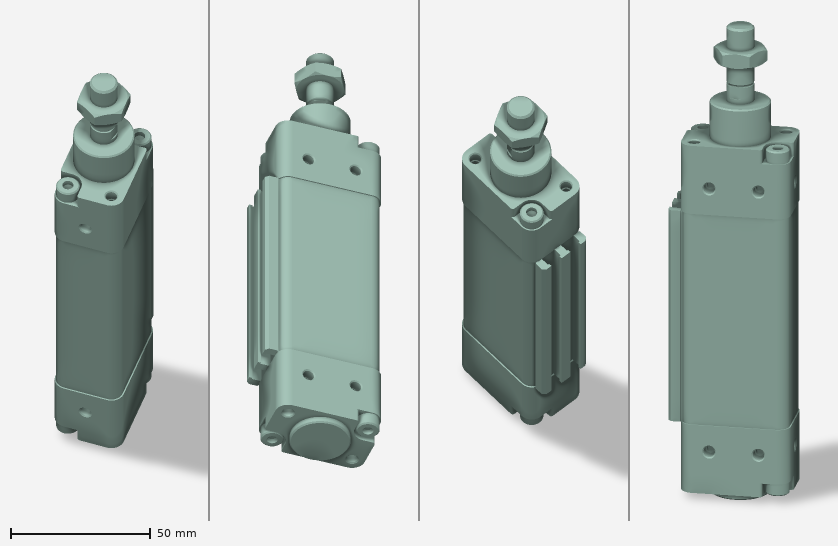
import cadquery as cq
import math


CAP_X = 26.0
CAP_Y = 40.0
CAP_LENGTH = 26.0
BODY_LENGTH = 132.5
BARREL_INSET = 0.5
CORNER_X = 8.25
CORNER_Y = 15.25
CAP_RADIUS = CAP_X / 2 - CORNER_X
BARREL_RADIUS = CAP_RADIUS - BARREL_INSET

BOSS_DIA = 22.0
BOTTOM_BOSS_HEIGHT = 2.5
TOP_BOSS_HEIGHT = 14.0
BOSS_CHAMFER = 0.5

BODY_BOTTOM = BOTTOM_BOSS_HEIGHT
BODY_TOP = BODY_BOTTOM + BODY_LENGTH
BODY_MIDDLE = (BODY_BOTTOM + BODY_TOP) / 2

POCKET_DEPTH = 5.25
POCKET_RADIUS = 5.0
POCKET_MOUTH_RADIUS = 1.0
HEAD_DIA = 8.5
HEAD_HEIGHT = 4.75
HEAD_CHAMFER = 0.5
SOCKET_DIA = 4.0
SOCKET_DEPTH = 2.0
SOCKET_CONE_DEPTH = 1.0

PILOT_DIA = 3.12
THREAD_DIA = 4.13
THREAD_DEPTH = 4.0
HOLE_MOUTH_DIA = 5.0
HOLE_DEPTH = 6.0
HOLE_FROM_END = 16.0
SIDE_HOLE_Y = 9.0

RAIL_TOP = 24.5
RAIL_OUTER_X = 10.6
RAIL_STEM = 3.0
RAIL_LIP = 0.6
RAIL_LIP_THICKNESS = 1.2
RAIL_CHAMFER = 1.2
RAIL_FOOT_STEP = 0.5

ROD_DIA = 10.0
ROD_END_DIA = 8.5
ROD_TOP = 177.5
GROOVE_DIA = 8.65
GROOVE_WIDTH = 1.0
GROOVE_TOP = ROD_TOP - 21.2
FLAT_HEIGHT = 4.5
FLATS_ACROSS = 9.0
FLATS_ANGLE = -14.0

NUT_ACROSS_FLATS = 17.0
NUT_THICKNESS = 5.5
NUT_TOP = ROD_TOP - 8.2
NUT_CHAMFER_ANGLE = 30.0
HALF_HEX_ANGLE = 30.0


def rounded_bar(size_x, size_y, radius, bottom, length):
    bar = cq.Workplane("XY").workplane(offset=bottom).rect(size_x, size_y).extrude(length)
    return bar.edges("|Z").fillet(radius)


def cylinder(diameter, bottom, height):
    return cq.Workplane("XY").workplane(offset=bottom).circle(diameter / 2).extrude(height)


def tapped_hole(point, direction):
    """Blind hole starting at point: 45 degree mouth, thread bore, then the narrower pilot bore."""
    start = cq.Vector(*point)
    along = cq.Vector(*direction)
    mouth_radius = HOLE_MOUTH_DIA / 2
    thread_radius = THREAD_DIA / 2
    mouth = cq.Solid.makeCone(mouth_radius, thread_radius, mouth_radius - thread_radius, start, along)
    thread = cq.Solid.makeCylinder(thread_radius, THREAD_DEPTH, start, along)
    pilot = cq.Solid.makeCylinder(PILOT_DIA / 2, HOLE_DEPTH, start, along)
    return pilot.fuse(thread).fuse(mouth)


def screw_pocket():
    """Pocket at the -X, -Y corner of the top face, rounded about the screw axis."""
    edge_x = -CAP_X / 2
    edge_y = -CAP_Y / 2
    wall_x = -CORNER_X + POCKET_RADIUS
    wall_y = -CORNER_Y + POCKET_RADIUS
    mouth = POCKET_MOUTH_RADIUS
    diagonal = POCKET_RADIUS * math.sqrt(0.5)
    return (
        cq.Workplane("XY").workplane(offset=BODY_TOP - POCKET_DEPTH)
        .moveTo(edge_x, edge_y)
        .lineTo(edge_x, wall_y + mouth)
        .radiusArc((edge_x + mouth, wall_y), -mouth)
        .lineTo(-CORNER_X, wall_y)
        .threePointArc((-CORNER_X + diagonal, -CORNER_Y + diagonal), (wall_x, -CORNER_Y))
        .lineTo(wall_x, edge_y + mouth)
        .radiusArc((wall_x + mouth, edge_y), -mouth)
        .close()
        .extrude(POCKET_DEPTH)
    )


def screw_head():
    """Socket head standing in the -X, -Y pocket of the top face."""
    floor = BODY_TOP - POCKET_DEPTH
    head = cylinder(HEAD_DIA, floor, HEAD_HEIGHT).faces(">Z").chamfer(HEAD_CHAMFER)
    socket_radius = SOCKET_DIA / 2
    socket_floor = floor + HEAD_HEIGHT - SOCKET_DEPTH
    socket = cylinder(SOCKET_DIA, socket_floor, SOCKET_DEPTH)
    down = cq.Vector(0, 0, -1)
    cone = cq.Solid.makeCone(socket_radius, 0, SOCKET_CONE_DEPTH, cq.Vector(0, 0, socket_floor), down)
    return head.cut(socket).cut(cq.Workplane(cone)).translate((-CORNER_X, -CORNER_Y, 0))


def at_screw_corners(shape):
    """Copies of a top -X, -Y corner shape at both screw corners of both end caps."""
    copies = []
    for angle in (0, 180):
        turned = shape.rotate((0, 0, 0), (0, 0, 1), angle)
        copies.append(turned)
        copies.append(turned.mirror("XY", (0, 0, BODY_MIDDLE)))
    return copies


def rail(outline):
    """XY outline closed and extruded along the barrel between the caps."""
    base = cq.Workplane("XY").workplane(offset=BODY_BOTTOM + CAP_LENGTH)
    return base.polyline(outline).close().extrude(BODY_LENGTH - 2 * CAP_LENGTH)


def sensor_rails():
    """T-shaped middle rail between two hooked outer rails."""
    root = CORNER_Y
    lip_under = RAIL_TOP - RAIL_LIP_THICKNESS
    half = RAIL_STEM / 2
    middle = rail([
        (-half, root), (half, root), (half, lip_under), (half + RAIL_LIP, lip_under),
        (half + RAIL_LIP, RAIL_TOP), (-half - RAIL_LIP, RAIL_TOP),
        (-half - RAIL_LIP, lip_under), (-half, lip_under),
    ])
    inner = -RAIL_OUTER_X + RAIL_STEM
    foot = -RAIL_OUTER_X + RAIL_FOOT_STEP
    left = rail([
        (-RAIL_OUTER_X, CAP_Y / 2), (foot, CAP_Y / 2), (foot, root), (inner, root),
        (inner, lip_under), (inner + RAIL_LIP, lip_under), (inner + RAIL_LIP, RAIL_TOP),
        (-RAIL_OUTER_X + RAIL_CHAMFER, RAIL_TOP), (-RAIL_OUTER_X, RAIL_TOP - RAIL_CHAMFER),
    ])
    return [left, middle, left.mirror("YZ")]


def hole_cutters():
    """Front port, two side holes and two corner holes in each end cap."""
    cutters = []
    for end, inward in ((BODY_TOP, -1), (BODY_BOTTOM, 1)):
        level = end + inward * HOLE_FROM_END
        cutters.append(tapped_hole((0, -CAP_Y / 2, level), (0, 1, 0)))
        for y in (-SIDE_HOLE_Y, SIDE_HOLE_Y):
            cutters.append(tapped_hole((-CAP_X / 2, y, level), (1, 0, 0)))
        for side in (-1, 1):
            corner = (side * CORNER_X, -side * CORNER_Y, end)
            cutters.append(tapped_hole(corner, (0, 0, inward)))
    return cutters


def make_housing():
    """Barrel with sensor rails, two end caps, locating bosses and corner screw heads."""
    barrel_x = CAP_X - 2 * BARREL_INSET
    barrel_y = CAP_Y - 2 * BARREL_INSET
    housing = rounded_bar(barrel_x, barrel_y, BARREL_RADIUS, BODY_BOTTOM, BODY_LENGTH)
    for part in sensor_rails():
        housing = housing.union(part)
    for bottom in (BODY_BOTTOM, BODY_TOP - CAP_LENGTH):
        housing = housing.union(rounded_bar(CAP_X, CAP_Y, CAP_RADIUS, bottom, CAP_LENGTH))
    top_boss = cylinder(BOSS_DIA, BODY_TOP, TOP_BOSS_HEIGHT).faces(">Z").chamfer(BOSS_CHAMFER)
    bottom_boss = cylinder(BOSS_DIA, 0, BOTTOM_BOSS_HEIGHT).faces("<Z").chamfer(BOSS_CHAMFER)
    housing = housing.union(top_boss).union(bottom_boss)
    for pocket in at_screw_corners(screw_pocket()):
        housing = housing.cut(pocket)
    for head in at_screw_corners(screw_head()):
        housing = housing.union(head)
    for cutter in hole_cutters():
        housing = housing.cut(cq.Workplane(cutter))
    return housing.cut(cylinder(ROD_DIA, BODY_TOP, TOP_BOSS_HEIGHT))


def make_rod():
    """Rod with a chamfered end, a groove with one sloping side and two wrench flats."""
    radius = ROD_DIA / 2
    end_step = (ROD_DIA - ROD_END_DIA) / 2
    groove_radius = GROOVE_DIA / 2
    groove_bottom = GROOVE_TOP - GROOVE_WIDTH
    rod = (
        cq.Workplane("XZ")
        .polyline([
            (0, BODY_TOP), (radius, BODY_TOP), (radius, groove_bottom),
            (groove_radius, groove_bottom), (groove_radius, GROOVE_TOP - radius + groove_radius),
            (radius, GROOVE_TOP), (radius, ROD_TOP - end_step), (radius - end_step, ROD_TOP), (0, ROD_TOP),
        ])
        .close()
        .revolve(360, (0, 0, 0), (0, 1, 0))
    )
    for side in (-1, 1):
        flat = (
            cq.Workplane("XY").workplane(offset=groove_bottom - FLAT_HEIGHT)
            .center(side * (FLATS_ACROSS + ROD_DIA) / 2, 0)
            .rect(ROD_DIA, ROD_DIA)
            .extrude(FLAT_HEIGHT)
        )
        rod = rod.cut(flat.rotate((0, 0, 0), (0, 0, 1), FLATS_ANGLE))
    return rod


def make_nut():
    """Hexagon nut with its flats facing +X and -X and its corners chamfered at both ends."""
    bottom = NUT_TOP - NUT_THICKNESS
    corner_radius = NUT_ACROSS_FLATS / 2 / math.cos(math.radians(HALF_HEX_ANGLE))
    face_radius = NUT_ACROSS_FLATS / 2
    drop = (corner_radius - face_radius) * math.tan(math.radians(NUT_CHAMFER_ANGLE))
    hexagon = (
        cq.Workplane("XY").workplane(offset=bottom)
        .polygon(6, 2 * corner_radius)
        .extrude(NUT_THICKNESS)
        .rotate((0, 0, 0), (0, 0, 1), HALF_HEX_ANGLE)
    )
    envelope = (
        cq.Workplane("XZ")
        .polyline([
            (0, bottom), (face_radius, bottom), (corner_radius, bottom + drop),
            (corner_radius, NUT_TOP - drop), (face_radius, NUT_TOP), (0, NUT_TOP),
        ])
        .close()
        .revolve(360, (0, 0, 0), (0, 1, 0))
    )
    return hexagon.intersect(envelope).cut(cylinder(ROD_DIA, bottom, NUT_THICKNESS))


housing = make_housing()
rod = make_rod()
nut = make_nut()

result = cq.Compound.makeCompound([housing.val(), rod.val(), nut.val()])